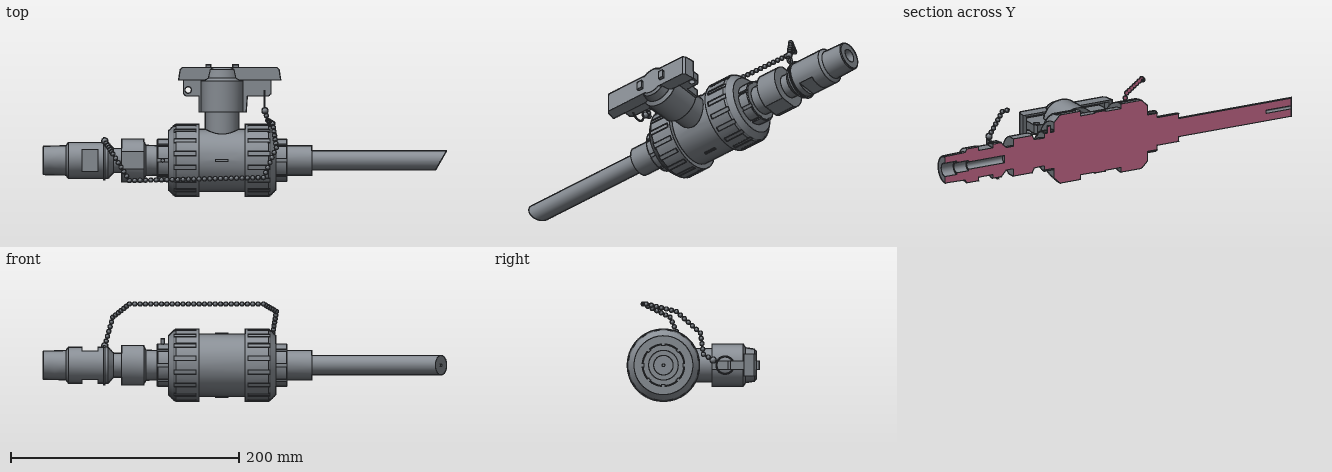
import cadquery as cq
import math

total_length = 353.62
total_height = 87.22
handle_reach = 83.9

thread_end_x = 20.4
thread_start_radius = 12.5
thread_end_radius = 13.0
thread_chamfer = 0.8
nozzle_x = 22.4
nozzle_radius = 31.75 / 2
nozzle_end_x = 57.2
neck_x = 62.1
neck_radius = 10.6
wrench_flat_x = 34.4
wrench_flat_length = 13.8
wrench_flat_height = 12.6
chain_ring_x = 53.9
chain_ring_radius = 34.54 / 2
chain_ring_width = 1.2

coupling_x = 69.0
coupling_end_x = 88.5
coupling_radius = 19.0
coupling_flat_height = 17.4
coupling_shoulder_radius = 16.4
sleeve_x = 90.3
sleeve_radius = 13.4
sleeve_end_radius = 13.0

stem_x = 157.0
body_half_length = 20.2
body_radius = 54.86 / 2
nut_radius = 63.5 / 2
nut_slot_radius = 61.52 / 2
nut_face_radius = 25.8
nut_half_span = 47.1
nut_bevel_length = 5.0
nut_pad_run_in = 1.6
nut_slot_count = 16
nut_slot_width = 3.9
nut_lip = 2.6
collar_half_span = 57.0
collar_radius = 37.34 / 2
collar_chamfer = 0.8
collar_slot_count = 8
collar_slot_width = 3.0
collar_slot_depth = 1.6
locating_pin_x = 105.0
locating_pin_radius = 3.17 / 2
locating_pin_top = 23.2
flow_mark_x = 151.0
flow_mark_length = 11.0
flow_mark_width = 2.0
flow_mark_height = 28.2

hub_end_x = 235.6
hub_radius = 13.0
tube_radius = 17.14 / 2
tip_angle = 60.0
tip_bore_radius = 2.5 / 2
tip_bore_length = 30.0

inlet_bores = [(11.91 / 2, 12.0), (9.0 / 2, 24.0), (6.35 / 2, 60.0)]

stem_radius = 29.6 / 2
socket_y = 42.4
socket_radius = 37.34 / 2
socket_shoulder_y = 69.7
crown_base_y = 72.0
crown_base_radius = 15.4
crown_shoulder_y = 79.6
crown_shoulder_radius = 14.1
crown_top_radius = 12.0
grip_y = 70.4
grip_top_y = 81.4
grip_left_x = 118.8
grip_right_x = 208.4
grip_end_draft = 1.4
grip_corner = 2.0
grip_half_width = 9.6
grip_wall = 1.7
grip_pocket_depth = 8.0
web_thickness = 7.6
web_left_x = 123.0
web_right_x = 199.9
web_y = 56.4
web_corner = 2.2
web_step_left_x = 136.7
web_step_right_x = 179.2
web_step_draft = 1.0
lock_hole_x = 127.3
lock_hole_y = 61.7
lock_hole_radius = 5.5 / 2
pip_spans = [(142.8, 147.2), (166.2, 171.4)]
pip_width = 7.6

bead_radius = 3.81 / 2
bead_pitch = 4.75
link_radius = 0.6
chain_top_z = total_height - nut_radius - bead_radius
chain_points = [
    (54.3, 17.0, 17.0),
    (61.3, 5.8, 42.0),
    (75.8, -17.6, chain_top_z),
    (193.2, -15.0, chain_top_z),
    (204.5, 11.3, 47.0),
    (201.4, 32.4, 28.2),
    (197.0, 35.0, 9.5),
    (194.5, 43.5, 4.5),
]
eyelet_angle = 36.0
eyelet_radius = 3.0
eyelet_wire_radius = 0.8
clasp_radius = 5.5 / 2
key_ring_x = 194.2
key_ring_y = 54.0
key_ring_radius = 7.6
key_ring_wire_radius = 0.5


def turned(points):
    """Solid of revolution about the main axis from an (x, radius) outline."""
    axis_ends = [(points[-1][0], 0), (points[0][0], 0)]
    outline = cq.Workplane("XY").polyline(points + axis_ends).close()
    return outline.revolve(360, (0, 0, 0), (1, 0, 0))


def rod(x_start, x_end, radius):
    return cq.Workplane("YZ", origin=(x_start, 0, 0)).circle(radius).extrude(x_end - x_start)


def block(x_start, x_end, y_start, y_end, z_start, z_end):
    size = (x_end - x_start, y_end - y_start, z_end - z_start)
    return cq.Workplane("XY").box(*size, centered=False).translate((x_start, y_start, z_start))


def axial_slots(x_start, x_end, floor_radius, width, count, first_angle):
    """Cutters for straight slots spaced evenly around the main axis."""
    cutters = cq.Workplane("XY")
    for index in range(count):
        cutter = block(x_start, x_end, -width / 2, width / 2, floor_radius, 2 * floor_radius)
        angle = first_angle + index * 360 / count
        cutters = cutters.add(cutter.rotate((0, 0, 0), (1, 0, 0), angle))
    return cutters.combine()


def mirrored_about_stem(shape):
    return shape.mirror("YZ", (stem_x, 0, 0))


def make_nozzle():
    nozzle = turned([
        (0, thread_start_radius - thread_chamfer),
        (thread_chamfer, thread_start_radius),
        (thread_end_x, thread_end_radius),
        (nozzle_x, nozzle_radius),
        (nozzle_end_x, nozzle_radius),
        (neck_x, neck_radius),
        (coupling_x, neck_radius),
    ])
    flat_end_x = wrench_flat_x + wrench_flat_length
    flat = block(
        wrench_flat_x, flat_end_x, -nozzle_radius, nozzle_radius, wrench_flat_height, nozzle_radius
    )
    nozzle = nozzle.cut(flat).cut(flat.mirror("XY"))
    ring_start_x = chain_ring_x - chain_ring_width / 2
    return nozzle.union(rod(ring_start_x, ring_start_x + chain_ring_width, chain_ring_radius))


def make_coupling():
    coupling = rod(coupling_x, coupling_end_x, coupling_radius)
    flats = block(
        coupling_x, coupling_end_x, -coupling_radius, coupling_radius,
        -coupling_flat_height, coupling_flat_height,
    )
    sleeve = turned([
        (coupling_end_x, coupling_shoulder_radius),
        (sleeve_x, sleeve_radius),
        (stem_x - collar_half_span, sleeve_end_radius),
    ])
    return coupling.intersect(flats).union(sleeve)


def make_union_end():
    """Slotted collar and union nut on the inlet side of the stem."""
    nut_face_x = stem_x - nut_half_span
    nut_end_x = stem_x - body_half_length
    slot_start_x = nut_face_x + nut_bevel_length
    nut = turned([
        (nut_face_x, nut_face_radius),
        (slot_start_x, nut_slot_radius),
        (slot_start_x + nut_pad_run_in, nut_radius),
        (nut_end_x, nut_radius),
    ])
    nut = nut.cut(axial_slots(
        slot_start_x, nut_end_x - nut_lip, nut_slot_radius,
        nut_slot_width, nut_slot_count, 180 / nut_slot_count,
    ))
    collar_x = stem_x - collar_half_span
    collar = turned([
        (collar_x, collar_radius - collar_chamfer),
        (collar_x + collar_chamfer, collar_radius),
        (nut_face_x, collar_radius),
    ])
    collar = collar.cut(axial_slots(
        collar_x, nut_face_x, collar_radius - collar_slot_depth,
        collar_slot_width, collar_slot_count, 0,
    ))
    return collar.union(nut)


def make_body():
    body = rod(stem_x - body_half_length, stem_x + body_half_length, body_radius)
    flow_marks = block(
        flow_mark_x, flow_mark_x + flow_mark_length,
        -flow_mark_width / 2, flow_mark_width / 2, -flow_mark_height, flow_mark_height,
    )
    pin = cq.Workplane("XY").center(locating_pin_x, 0).circle(locating_pin_radius)
    return body.union(flow_marks).union(pin.extrude(locating_pin_top))


def make_outlet():
    tip_run = 2 * tube_radius / math.tan(math.radians(tip_angle))
    tube = (
        cq.Workplane("XY")
        .moveTo(hub_end_x, -tube_radius)
        .lineTo(total_length - tip_run, -tube_radius)
        .lineTo(total_length, tube_radius)
        .lineTo(hub_end_x, tube_radius)
        .close()
        .extrude(tube_radius, both=True)
        .intersect(rod(hub_end_x, total_length, tube_radius))
    )
    hub = rod(stem_x + collar_half_span, hub_end_x, hub_radius)
    tip_bore = rod(total_length - tip_bore_length, total_length, tip_bore_radius)
    return hub.union(tube).cut(tip_bore)


def make_stem_and_socket():
    stem_and_socket = (
        cq.Workplane("XY")
        .polyline([
            (0, 0),
            (stem_radius, 0),
            (stem_radius, socket_y),
            (socket_radius, socket_y),
            (socket_radius, socket_shoulder_y),
            (crown_base_radius, crown_base_y),
            (crown_shoulder_radius, crown_shoulder_y),
            (crown_top_radius, grip_top_y),
            (0, grip_top_y),
        ])
        .close()
        .revolve(360, (0, 0, 0), (0, 1, 0))
    )
    return stem_and_socket.translate((stem_x, 0, 0))


def make_grip():
    """Channel-shaped grip bar, open towards the valve body."""
    grip = (
        cq.Workplane("XY")
        .polyline([
            (grip_left_x, grip_y),
            (grip_right_x, grip_y),
            (grip_right_x - grip_end_draft, grip_top_y - grip_corner),
            (grip_right_x - grip_end_draft - grip_corner, grip_top_y),
            (grip_left_x + grip_end_draft + grip_corner, grip_top_y),
            (grip_left_x + grip_end_draft, grip_top_y - grip_corner),
        ])
        .close()
        .extrude(grip_half_width, both=True)
    )
    pocket_half_width = grip_half_width - grip_wall
    pocket = block(
        grip_left_x + 2 * grip_wall, grip_right_x - 2 * grip_wall,
        grip_y, grip_y + grip_pocket_depth, -pocket_half_width, pocket_half_width,
    )
    grip = grip.cut(pocket)
    for pip_start, pip_end in pip_spans:
        pip = block(pip_start, pip_end, crown_shoulder_y, handle_reach, -pip_width / 2, pip_width / 2)
        grip = grip.union(pip)
    return grip


def make_web():
    web_top_y = grip_y + grip_pocket_depth
    web = (
        cq.Workplane("XY")
        .polyline([
            (web_left_x, web_top_y),
            (web_left_x, web_y + web_corner),
            (web_left_x + web_corner, web_y),
            (web_step_left_x, web_y),
            (web_step_left_x, socket_y),
            (web_step_right_x - web_step_draft, socket_y),
            (web_step_right_x, web_y),
            (web_right_x - web_corner, web_y),
            (web_right_x, web_y + web_corner),
            (web_right_x, web_top_y),
        ])
        .close()
        .extrude(web_thickness / 2, both=True)
    )
    lock_hole = cq.Workplane("XY").center(lock_hole_x, lock_hole_y).circle(lock_hole_radius)
    return web.cut(lock_hole.extrude(web_thickness, both=True))


def ball(center, radius):
    return cq.Workplane("XY").sphere(radius).translate(center)


def wire_ring(center, ring_radius, wire_radius):
    """Closed wire loop lying in a plane normal to X."""
    ring = cq.Solid.makeTorus(ring_radius, wire_radius, cq.Vector(*center), cq.Vector(1, 0, 0))
    return cq.Workplane(obj=ring)


def chain_run(start, end):
    """Straight run of beads on a thin link; the beads at both ends are left out."""
    start_point = cq.Vector(*start)
    run = cq.Vector(*end) - start_point
    bead_count = round(run.Length / bead_pitch)
    step = run.Length / bead_count
    half_chord = math.sqrt(bead_radius**2 - link_radius**2)
    plane = cq.Plane(origin=start_point, xDir=run, normal=run.cross(cq.Vector(0, 0, 1)))
    outline = cq.Workplane(plane).moveTo(0, 0).lineTo(0, link_radius)
    for index in range(1, bead_count):
        middle = index * step
        outline = (
            outline
            .lineTo(middle - half_chord, link_radius)
            .threePointArc((middle, bead_radius), (middle + half_chord, link_radius))
        )
    outline = outline.lineTo(run.Length, link_radius).lineTo(run.Length, 0).close()
    return outline.revolve(360, (0, 0, 0), (1, 0, 0))


def make_chain():
    chain = ball(chain_points[0], clasp_radius).union(ball(chain_points[-1], clasp_radius))
    for start, end in zip(chain_points, chain_points[1:]):
        chain = chain.union(chain_run(start, end)).union(ball(start, bead_radius))
    eyelet_reach = chain_ring_radius + eyelet_radius
    eyelet_center = (
        chain_ring_x,
        eyelet_reach * math.cos(math.radians(eyelet_angle)),
        eyelet_reach * math.sin(math.radians(eyelet_angle)),
    )
    eyelet = wire_ring(eyelet_center, eyelet_radius, eyelet_wire_radius)
    key_ring = wire_ring((key_ring_x, key_ring_y, 0), key_ring_radius, key_ring_wire_radius)
    return chain.union(eyelet).union(key_ring)


def make_inlet_bore():
    bore = cq.Workplane("XY")
    for radius, depth in inlet_bores:
        bore = bore.add(rod(0, depth, radius))
    return bore.combine()


union_end = make_union_end()
handle = make_grip().union(make_web()).union(make_stem_and_socket())
valve = make_body().union(union_end).union(mirrored_about_stem(union_end)).union(handle)
valve = valve.union(make_nozzle()).union(make_coupling()).union(make_outlet())
result = valve.cut(make_inlet_bore()).union(make_chain())